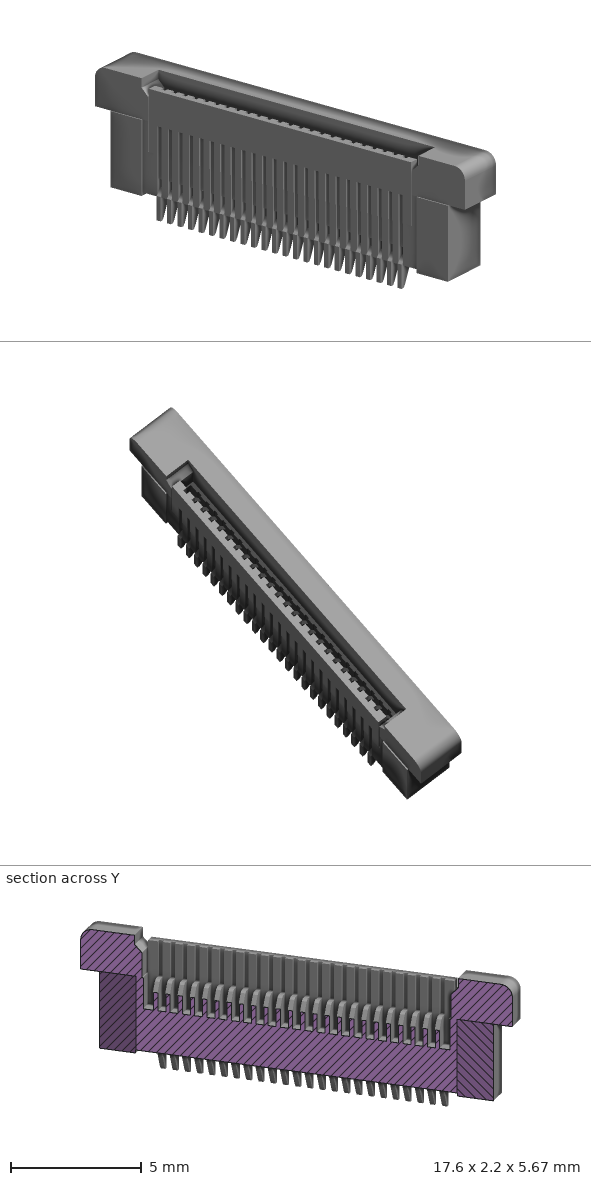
import cadquery as cq
import math


CAP_WIDTH = 17.65
CAP_HEIGHT = 1.7
CAP_CORNER_RADIUS = 0.5
CAP_FRONT_Y = 0.05
CAP_BACK_Y = 2.05

BASE_WIDTH = 13.13
BASE_FRONT_Y = 0.07
BASE_BOTTOM = 4.71

SOLDER_BLOCK_WIDTH = 1.48
SOLDER_BLOCK_BACK_Y = 2.1
SOLDER_BLOCK_BOTTOM = 4.84

BOSS_DIAMETER = 3.0
BOSS_BACK_Y = 2.2
BOSS_CENTRE_DEPTH = 2.91

MOUTH_WIDTH = 13.2
MOUTH_TAPER_START = 0.39
MOUTH_TAPER_END = 0.69
MOUTH_BACK_Y = 1.13
TONGUE_WIDTH = 12.5
TONGUE_SIDE_GAP = 0.05
TONGUE_TOP = 0.35
TONGUE_BACK_Y = 0.45
SLOT_BACK_Y = 0.97
SLOT_BOTTOM = 2.97
OPENING_WIDTH = TONGUE_WIDTH + 2 * TONGUE_SIDE_GAP

CONTACT_COUNT = 24
CONTACT_ROW_LENGTH = 11.5
CONTACT_PITCH = CONTACT_ROW_LENGTH / (CONTACT_COUNT - 1)
CONTACT_WIDTH = 0.2
CONTACT_FRONT_Y = 0.28
CONTACT_TOP = 1.8
NOSE_BEVEL_START_Y = 0.65
NOSE_BEVEL_END_Y = 0.76
NOSE_BACK_Y = 1.02
NOSE_BEVEL_ANGLE = 36.0
NOSE_BACK_ANGLE = 60.0

WINDOW_FLOOR_Y = 0.15
WINDOW_STEP = 3.99

FOOT_BEND_TOP = 4.38
FOOT_BEND_BOTTOM = FOOT_BEND_TOP + CONTACT_FRONT_Y
FOOT_BOTTOM = 5.67
FOOT_ROOT_Y = 0.58
FOOT_TIP_Y = 0.21
FOOT_TIP_START = 5.55
FOOT_END_Y = 0.12


def block(width, front_y, back_y, top, bottom, centre_x=0.0):
    """Box given by its width, its front and back in Y and the depths of its top and bottom."""
    return (
        cq.Workplane("XY", origin=(centre_x, front_y, -bottom))
        .box(width, back_y - front_y, bottom - top, centered=(True, False, False))
    )


def side_plate(points, centre_x):
    """Plate of contact width whose outline is a list of (y, depth) points."""
    outline = [(y, -depth) for y, depth in points]
    return (
        cq.Workplane("YZ", origin=(centre_x - CONTACT_WIDTH / 2, 0, 0))
        .polyline(outline)
        .close()
        .extrude(CONTACT_WIDTH)
    )


def make_cap():
    cap = block(CAP_WIDTH, CAP_FRONT_Y, CAP_BACK_Y, 0, CAP_HEIGHT)
    return cap.edges("|Y and >Z").fillet(CAP_CORNER_RADIUS)


def make_boss():
    plane = cq.Plane(origin=(0, CAP_BACK_Y, -BOSS_CENTRE_DEPTH), xDir=(1, 0, 0), normal=(0, 1, 0))
    return cq.Workplane(plane).circle(BOSS_DIAMETER / 2).extrude(BOSS_BACK_Y - CAP_BACK_Y)


def make_mouth():
    """Space through the cap, open to the front, narrowing below its top."""
    half_mouth = MOUTH_WIDTH / 2
    half_opening = OPENING_WIDTH / 2
    outline = [
        (-half_mouth, 0),
        (-half_mouth, -MOUTH_TAPER_START),
        (-half_opening, -MOUTH_TAPER_END),
        (-half_opening, -CAP_HEIGHT),
        (half_opening, -CAP_HEIGHT),
        (half_opening, -MOUTH_TAPER_END),
        (half_mouth, -MOUTH_TAPER_START),
        (half_mouth, 0),
    ]
    plane = cq.Plane(origin=(0, 0, 0), xDir=(1, 0, 0), normal=(0, -1, 0))
    return cq.Workplane(plane).polyline(outline).close().extrude(-MOUTH_BACK_Y)


def make_contact_nose(centre_x):
    """Upper end of a contact, standing in the cable slot with a bevelled back."""
    bevel_bottom = CONTACT_TOP + (NOSE_BEVEL_END_Y - NOSE_BEVEL_START_Y) * math.tan(
        math.radians(NOSE_BEVEL_ANGLE)
    )
    back_top = bevel_bottom + (NOSE_BACK_Y - NOSE_BEVEL_END_Y) * math.tan(math.radians(NOSE_BACK_ANGLE))
    points = [
        (CONTACT_FRONT_Y, SLOT_BOTTOM),
        (CONTACT_FRONT_Y, CONTACT_TOP),
        (NOSE_BEVEL_START_Y, CONTACT_TOP),
        (NOSE_BEVEL_END_Y, bevel_bottom),
        (NOSE_BACK_Y, back_top),
        (NOSE_BACK_Y, SLOT_BOTTOM),
    ]
    return side_plate(points, centre_x)


def make_contact_foot(centre_x):
    """Lower end of a contact, bent forward to the mounting plane and tapering to its tip."""
    points = [
        (CONTACT_FRONT_Y, FOOT_BEND_TOP),
        (0, FOOT_BEND_BOTTOM),
        (0, FOOT_BOTTOM),
        (FOOT_END_Y, FOOT_BOTTOM),
        (FOOT_TIP_Y, FOOT_TIP_START),
        (FOOT_ROOT_Y, BASE_BOTTOM),
        (FOOT_ROOT_Y, FOOT_BEND_TOP),
    ]
    return side_plate(points, centre_x)


def make_contact_groove(centre_x):
    """Groove across the cable slot, cut into the tongue and the wall behind the slot."""
    return block(CONTACT_WIDTH, CONTACT_FRONT_Y, NOSE_BACK_Y, 0, SLOT_BOTTOM, centre_x)


def make_contact_window(centre_x):
    upper = block(CONTACT_WIDTH, 0, WINDOW_FLOOR_Y, CONTACT_TOP, WINDOW_STEP, centre_x)
    lower = block(CONTACT_WIDTH, 0, CONTACT_FRONT_Y, WINDOW_STEP, BASE_BOTTOM, centre_x)
    return upper.union(lower)


def make_housing():
    """Cap, base, tongue, boss and the contacts fixed in them, as one solid."""
    base = block(BASE_WIDTH, BASE_FRONT_Y, CAP_BACK_Y, CAP_HEIGHT, BASE_BOTTOM)
    tongue_space = block(OPENING_WIDTH, 0, TONGUE_BACK_Y, CAP_HEIGHT, SLOT_BOTTOM)
    cable_slot = block(TONGUE_WIDTH, TONGUE_BACK_Y, SLOT_BACK_Y, CAP_HEIGHT, SLOT_BOTTOM)
    tongue = block(TONGUE_WIDTH, CAP_FRONT_Y, TONGUE_BACK_Y, TONGUE_TOP, SLOT_BOTTOM)

    housing = make_cap().union(base)
    housing = housing.cut(make_mouth()).cut(tongue_space).cut(cable_slot)
    housing = housing.union(tongue).union(make_boss())
    for index in range(CONTACT_COUNT):
        centre_x = index * CONTACT_PITCH - CONTACT_ROW_LENGTH / 2
        housing = housing.cut(make_contact_groove(centre_x)).cut(make_contact_window(centre_x))
        housing = housing.union(make_contact_nose(centre_x)).union(make_contact_foot(centre_x))
    return housing


def make_solder_block(side):
    """Solid block beside the base; side is -1 for the left end and 1 for the right end."""
    centre_x = side * (BASE_WIDTH + SOLDER_BLOCK_WIDTH) / 2
    return block(SOLDER_BLOCK_WIDTH, 0, SOLDER_BLOCK_BACK_Y, CAP_HEIGHT, SOLDER_BLOCK_BOTTOM, centre_x)


housing_body = make_housing()
solder_blocks = [make_solder_block(side) for side in (-1, 1)]

result = cq.Compound.makeCompound([housing_body.val(), *[piece.val() for piece in solder_blocks]])